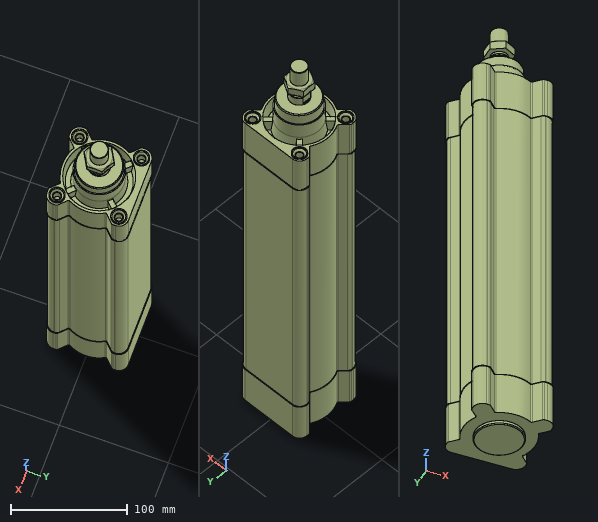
import cadquery as cq
import math

TOTAL_HEIGHT = 443.0
SPIGOT_HEIGHT = 3.5
SPIGOT_CHAMFER = 1.0
CAP_TOP = 45.0
HEAD_BOTTOM = 335.0
HEAD_TOP = 374.5
BOSS_TOP = 391.0
WIPER_TOP = 402.5

END_WIDTH = 75.0
TUBE_WIDTH = 73.5
END_BARREL_DIAMETER = 68.0
TUBE_BARREL_DIAMETER = 67.0
END_LOBE_WIDTH = 17.5
TUBE_LOBE_WIDTH = 16.5
CORNER_RADIUS = 9.0
INNER_FILLET = 1.5
END_SHOULDER_FILLET = 2.0
TUBE_SHOULDER_FILLET = 5.5

BOSS_DIAMETER = 45.0
WIPER_DIAMETER = 42.0
WIPER_BASE_DIAMETER = 43.0
WIPER_CHAMFER = 1.0
RECESS_DIAMETER = 63.0
RECESS_FLOOR_DIAMETER = 58.5
RECESS_DEPTH = 13.5
BOSS_ROOT_DIAMETER = 49.0
RIB_WIDTH = 6.0
RIB_DRAFT = 3
RIB_DROP = 2.0

SCREW_SPACING = 56.5
SCREW_BORE = 14.0
SCREW_BORE_DEPTH = 1.0
SCREW_CONE = 12.0
SCREW_CONE_END = 8.0
SCREW_CONE_DEPTH = 2.0
SCREW_HOLE = 6.5
SCREW_HOLE_DEPTH = 13.5
DRILL_TIP_ANGLE = 120

ROD_DIAMETER = 20.0
ROD_FLATS = 17.7
FLATS_BOTTOM = 404.0
SHOULDER_Z = 411.5
SHOULDER_CHAMFER = 0.5
ROD_DEPTH = 53.0
ROD_BOTTOM = WIPER_TOP - ROD_DEPTH
UNDERCUT_DIAMETER = 15.0
UNDERCUT_HEIGHT = 3.0
THREAD_DIAMETER = 16.0
TIP_CHAMFER = 0.5

NUT_BOTTOM = 417.0
NUT_HEIGHT = 8.5
NUT_FLATS = 24.0
NUT_CHAMFER_DIAMETER = 23.0
NUT_CHAMFER_ANGLE = 15


def cylinder(diameter, bottom, top):
    return cq.Workplane("XY").workplane(offset=bottom).circle(diameter / 2).extrude(top - bottom)


def cone(bottom_diameter, top_diameter, bottom, top):
    base = cq.Workplane("XY").workplane(offset=bottom).circle(bottom_diameter / 2)
    return base.workplane(offset=top - bottom).circle(top_diameter / 2).loft()


def section(width, barrel_diameter, lobe_width, shoulder_fillet, bottom, top):
    """Round barrel with four corner lobes; the +Y side is filled to a flat face."""
    half = width / 2
    wall = lobe_width / math.sqrt(2)
    shoulder = half - wall
    barrel_radius = barrel_diameter / 2

    root = (math.sqrt(2 * barrel_radius ** 2 - wall ** 2) - wall) / 2
    notch_depth = root + wall

    base = cq.Workplane("XY").workplane(offset=bottom)
    notch = (base.moveTo(half, -shoulder)
             .lineTo(notch_depth, -root)
             .threePointArc((barrel_radius, 0), (notch_depth, root))
             .lineTo(half, shoulder)
             .close().extrude(top - bottom))
    notch = notch.edges("|Z and <X").fillet(INNER_FILLET)

    body = base.rect(width, width).extrude(top - bottom).edges("|Z").fillet(CORNER_RADIUS)
    z_mid = (bottom + top) / 2
    for angle in (0, 180, 270):
        body = body.cut(notch.rotate((0, 0, 0), (0, 0, 1), angle))
    shoulders = [(half, shoulder), (half, -shoulder), (-half, shoulder),
                 (-half, -shoulder), (shoulder, -half), (-shoulder, -half)]
    for x, y in shoulders:
        body = body.edges(cq.NearestToPointSelector((x, y, z_mid))).fillet(shoulder_fillet)
    return body


def cut_recess(body):
    """Drafted ring-shaped recess around the boss, crossed by four diagonal ribs."""
    floor = HEAD_TOP - RECESS_DEPTH
    ring = cone(RECESS_FLOOR_DIAMETER, RECESS_DIAMETER, floor, HEAD_TOP)
    ring = ring.cut(cone(BOSS_ROOT_DIAMETER, BOSS_DIAMETER, floor, HEAD_TOP))
    for angle in (45, 135):
        rib = (cq.Workplane("XY").workplane(offset=floor).transformed(rotate=(0, 0, angle))
               .rect(2 * RECESS_DIAMETER, RIB_WIDTH)
               .extrude(RECESS_DEPTH - RIB_DROP, taper=RIB_DRAFT))
        ring = ring.cut(rib)
    return body.cut(ring)


def cut_screw_holes(body):
    """Counterbored holes with a conical mouth and a drill-tip bottom, one in each corner."""
    cone_top = HEAD_TOP - SCREW_BORE_DEPTH
    cone_bottom = cone_top - SCREW_CONE_DEPTH
    hole_bottom = HEAD_TOP - SCREW_HOLE_DEPTH
    tip_depth = SCREW_HOLE / 2 / math.tan(math.radians(DRILL_TIP_ANGLE / 2))
    profile = [(0, HEAD_TOP), (SCREW_BORE / 2, HEAD_TOP), (SCREW_BORE / 2, cone_top),
               (SCREW_CONE / 2, cone_top), (SCREW_CONE_END / 2, cone_bottom),
               (SCREW_HOLE / 2, cone_bottom), (SCREW_HOLE / 2, hole_bottom),
               (0, hole_bottom - tip_depth)]
    tool = cq.Workplane("XZ").polyline(profile).close().revolve(360, (0, 0, 0), (0, 1, 0))
    offset = SCREW_SPACING / 2
    for x in (-offset, offset):
        for y in (-offset, offset):
            body = body.cut(tool.translate((x, y, 0)))
    return body


def end_block(bottom, top):
    return section(END_WIDTH, END_BARREL_DIAMETER, END_LOBE_WIDTH,
                   END_SHOULDER_FILLET, bottom, top)


def make_housing():
    tube = section(TUBE_WIDTH, TUBE_BARREL_DIAMETER, TUBE_LOBE_WIDTH,
                   TUBE_SHOULDER_FILLET, CAP_TOP, HEAD_BOTTOM)
    head = cut_screw_holes(cut_recess(end_block(HEAD_BOTTOM, HEAD_TOP)))
    spigot = cylinder(BOSS_DIAMETER, 0, SPIGOT_HEIGHT).faces("<Z").chamfer(SPIGOT_CHAMFER)
    boss = cylinder(BOSS_DIAMETER, HEAD_TOP, BOSS_TOP)
    wiper = cone(WIPER_BASE_DIAMETER, WIPER_DIAMETER, BOSS_TOP, WIPER_TOP)
    wiper = wiper.faces(">Z").chamfer(WIPER_CHAMFER)
    body = end_block(SPIGOT_HEIGHT, CAP_TOP)
    for part in (spigot, tube, head, boss, wiper):
        body = body.union(part)
    return body.cut(cylinder(ROD_DIAMETER, ROD_BOTTOM, WIPER_TOP))


def make_rod():
    rod = cylinder(ROD_DIAMETER, ROD_BOTTOM, SHOULDER_Z)
    rod = rod.faces(">Z").chamfer(SHOULDER_CHAMFER)
    flats_height = SHOULDER_Z - FLATS_BOTTOM
    for side in (-1, 1):
        flat = (cq.Workplane("XY").workplane(offset=FLATS_BOTTOM)
                .center(side * (ROD_FLATS + ROD_DIAMETER) / 2, 0)
                .rect(ROD_DIAMETER, ROD_DIAMETER).extrude(flats_height))
        rod = rod.cut(flat)
    undercut_top = SHOULDER_Z + UNDERCUT_HEIGHT
    rod = rod.union(cylinder(UNDERCUT_DIAMETER, SHOULDER_Z, undercut_top))
    rod = rod.union(cylinder(THREAD_DIAMETER, undercut_top, TOTAL_HEIGHT))
    return rod.faces(">Z").chamfer(TIP_CHAMFER)


def make_nut():
    corner_radius = NUT_FLATS / math.sqrt(3)
    nut = (cq.Workplane("XY").workplane(offset=NUT_BOTTOM)
           .polygon(6, 2 * corner_radius).extrude(NUT_HEIGHT)
           .rotate((0, 0, 0), (0, 0, 1), 90))
    flat_radius = NUT_CHAMFER_DIAMETER / 2
    drop = (corner_radius - flat_radius) * math.tan(math.radians(NUT_CHAMFER_ANGLE))
    top = NUT_BOTTOM + NUT_HEIGHT
    profile = [(0, NUT_BOTTOM), (corner_radius, NUT_BOTTOM), (corner_radius, top - drop),
               (flat_radius, top), (0, top)]
    envelope = cq.Workplane("XZ").polyline(profile).close().revolve(360, (0, 0, 0), (0, 1, 0))
    return nut.intersect(envelope).cut(cylinder(THREAD_DIAMETER, NUT_BOTTOM, top))


housing = make_housing()
rod = make_rod()
nut = make_nut()
result = cq.Compound.makeCompound([housing.val(), rod.val(), nut.val()])